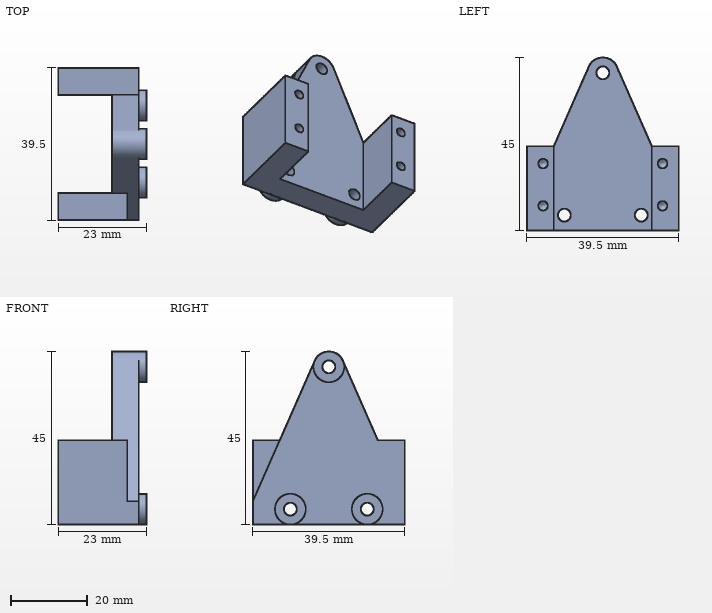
import cadquery as cq
import math

half_width = 19.75
height = 45.0
back_x = 21.0
plate_thickness = 7.0
boss_length = 2.0
front_x = back_x - plate_thickness

arm_gap = 25.42
arm_height = 21.95
arm_width = half_width - arm_gap / 2
short_arm_length = 18.0

side_edge_height = 6.05
boss_radius = 4.0
mount_hole_diameter = 3.3
lower_boss_y = 10.0
mount_points = [
    (0, height - boss_radius),
    (-lower_boss_y, boss_radius),
    (lower_boss_y, boss_radius),
]

arm_hole_diameter = 2.48
arm_hole_depth = 11.7
drill_point_angle = 118.0
arm_hole_y = 15.52
arm_hole_heights = (6.45, 17.4)


def cylinder_x(y, z, diameter, x_start, x_end):
    """Cylinder along X, centred at (y, z)."""
    return (
        cq.Workplane("YZ", origin=(x_start, y, z))
        .circle(diameter / 2)
        .extrude(x_end - x_start)
    )


def make_drilled_hole(y, z):
    """Blind hole from x = 0 along +X, ending in a drill-point cone."""
    radius = arm_hole_diameter / 2
    tip_length = radius / math.tan(math.radians(drill_point_angle / 2))
    cone = cq.Solid.makeCone(
        radius, 0, tip_length, cq.Vector(arm_hole_depth, y, z), cq.Vector(1, 0, 0)
    )
    return cylinder_x(y, z, arm_hole_diameter, 0, arm_hole_depth).union(cq.Workplane(obj=cone))


def make_arm(y_start, length):
    return cq.Workplane("XY").box(length, arm_width, arm_height, centered=False).translate((0, y_start, 0))


def make_plate():
    """Plate whose sloping edges run tangent to the top boss."""
    apex_z = mount_points[0][1]
    drop = apex_z - side_edge_height
    tangent_angle = math.acos(boss_radius / math.hypot(half_width, drop)) - math.atan2(drop, half_width)
    tangent_y = boss_radius * math.cos(tangent_angle)
    tangent_z = apex_z + boss_radius * math.sin(tangent_angle)
    return (
        cq.Workplane("YZ", origin=(front_x, 0, 0))
        .moveTo(-half_width, 0)
        .lineTo(half_width, 0)
        .lineTo(half_width, side_edge_height)
        .lineTo(tangent_y, tangent_z)
        .threePointArc((0, height), (-tangent_y, tangent_z))
        .lineTo(-half_width, side_edge_height)
        .close()
        .extrude(plate_thickness)
    )


body = make_plate()
body = body.union(make_arm(-half_width, short_arm_length))
body = body.union(make_arm(arm_gap / 2, back_x))

boss_end_x = back_x + boss_length
for y, z in mount_points:
    body = body.union(cylinder_x(y, z, 2 * boss_radius, front_x, boss_end_x))
for y, z in mount_points:
    body = body.cut(cylinder_x(y, z, mount_hole_diameter, front_x, boss_end_x))

for y in (-arm_hole_y, arm_hole_y):
    for z in arm_hole_heights:
        body = body.cut(make_drilled_hole(y, z))

result = body